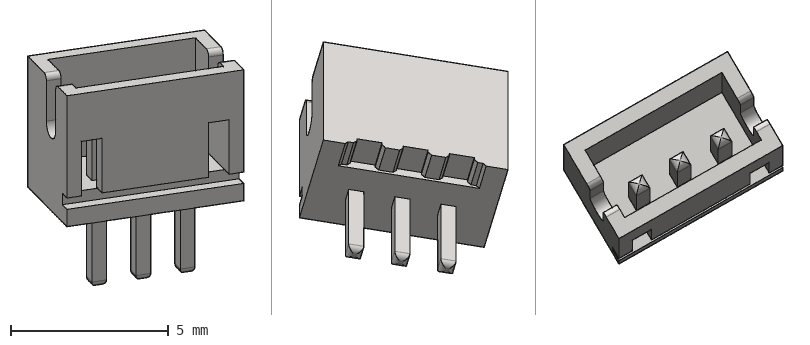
import cadquery as cq
import math


TOTAL_HEIGHT = 7.2
HOUSING_X = 3.5
HOUSING_Y = 6.0
HOUSING_HEIGHT = 4.5
WALL = 0.5

SLOT_X = 0.33
SLOT_WIDTH = 0.83
SLOT_DEPTH = 2.0
SLOT_LIP_RADIUS = 0.2

GROOVE_BOTTOM = 0.6
GROOVE_HEIGHT = 0.39
GROOVE_DEPTH = 0.41

FLOOR_TOP = GROOVE_BOTTOM + GROOVE_HEIGHT

WINDOW_TOP = 2.86
WINDOW_INNER_Y = 1.81

PIN_COUNT = 3
PIN_PITCH = 1.5
PIN_X = 0.44
PIN_WIDTH = 0.5
PIN_TIP_BELOW_RIM = 0.7
PIN_TOP = HOUSING_HEIGHT - PIN_TIP_BELOW_RIM
PIN_BOTTOM = HOUSING_HEIGHT - TOTAL_HEIGHT
PIN_TAIL_RADIUS = 0.2

RELIEF_DEPTH = 1.0
STRIP_HEIGHT = 0.1
STRIP_HALF_LENGTH = 2.29
BAY_HEIGHT = 0.3
BAY_HALF_WIDTH = 0.4
BAY_CHAMFER = 0.115

PIN_PLACES = [(i - (PIN_COUNT - 1) / 2) * PIN_PITCH for i in range(PIN_COUNT)]
CAVITY_X = HOUSING_X - 2 * WALL
CAVITY_Y = HOUSING_Y - 2 * WALL


def block(x_range, y_range, z_range):
    """Box spanning the given (low, high) ranges."""
    sizes = [high - low for low, high in (x_range, y_range, z_range)]
    corner = (x_range[0], y_range[0], z_range[0])
    return cq.Workplane("XY").box(*sizes, centered=False).translate(corner)


def keying_slot():
    """Round-bottomed slot with rounded lips, running the full length in Y."""
    half = SLOT_WIDTH / 2
    lip = SLOT_LIP_RADIUS
    left = SLOT_X - half
    right = SLOT_X + half
    arc_z = HOUSING_HEIGHT - SLOT_DEPTH + half
    lip_z = HOUSING_HEIGHT - lip
    return (
        cq.Workplane("XZ")
        .moveTo(left - lip, HOUSING_HEIGHT)
        .radiusArc((left, lip_z), lip)
        .lineTo(left, arc_z)
        .threePointArc((SLOT_X, arc_z - half), (right, arc_z))
        .lineTo(right, lip_z)
        .radiusArc((right + lip, HOUSING_HEIGHT), lip)
        .close()
        .extrude(HOUSING_Y / 2, both=True)
    )


def underside_relief():
    """Shallow chamfered strip plus one deeper flared bay for each pin."""
    plane = cq.Workplane("YZ", origin=(-HOUSING_X / 2, 0, 0))
    strip_top = STRIP_HALF_LENGTH - STRIP_HEIGHT
    relief = plane.polyline([
        (-STRIP_HALF_LENGTH, 0),
        (-strip_top, STRIP_HEIGHT),
        (strip_top, STRIP_HEIGHT),
        (STRIP_HALF_LENGTH, 0),
    ]).close().extrude(RELIEF_DEPTH)

    foot = BAY_HALF_WIDTH + BAY_CHAMFER
    shoulder_z = STRIP_HEIGHT + BAY_CHAMFER
    bay = plane.polyline([
        (-foot, 0),
        (-foot, STRIP_HEIGHT),
        (-BAY_HALF_WIDTH, shoulder_z),
        (-BAY_HALF_WIDTH, BAY_HEIGHT),
        (BAY_HALF_WIDTH, BAY_HEIGHT),
        (BAY_HALF_WIDTH, shoulder_z),
        (foot, STRIP_HEIGHT),
        (foot, 0),
    ]).close().extrude(RELIEF_DEPTH)
    for y in PIN_PLACES:
        relief = relief.union(bay.translate((0, y, 0)))
    return relief


def pin_profile(plane):
    """Pin silhouette with a full-round tip and a rounded tail, extruded one pin width."""
    half = PIN_WIDTH / 2
    tail = PIN_TAIL_RADIUS
    flat = half - tail
    tail_z = PIN_BOTTOM + tail
    tip_z = PIN_TOP - half
    diagonal = tail * math.sqrt(0.5)
    return (
        cq.Workplane(plane)
        .moveTo(-flat, PIN_BOTTOM)
        .lineTo(flat, PIN_BOTTOM)
        .threePointArc((flat + diagonal, tail_z - diagonal), (half, tail_z))
        .lineTo(half, tip_z)
        .threePointArc((0, PIN_TOP), (-half, tip_z))
        .lineTo(-half, tail_z)
        .threePointArc((-flat - diagonal, tail_z - diagonal), (-flat, PIN_BOTTOM))
        .close()
        .extrude(half, both=True)
    )


def housing():
    """Shroud with its cavity, slot, groove, windows and underside relief."""
    outer_x = HOUSING_X / 2
    outer_y = HOUSING_Y / 2
    inner_x = CAVITY_X / 2
    inner_y = CAVITY_Y / 2
    body = block((-outer_x, outer_x), (-outer_y, outer_y), (0, HOUSING_HEIGHT))
    body = body.cut(block((-inner_x, inner_x), (-inner_y, inner_y), (FLOOR_TOP, HOUSING_HEIGHT)))
    body = body.cut(keying_slot())
    groove_x = (outer_x - GROOVE_DEPTH, outer_x)
    body = body.cut(block(groove_x, (-outer_y, outer_y), (GROOVE_BOTTOM, FLOOR_TOP)))
    for y_range in ((-inner_y, -WINDOW_INNER_Y), (WINDOW_INNER_Y, inner_y)):
        body = body.cut(block((inner_x, outer_x), y_range, (FLOOR_TOP, WINDOW_TOP)))
    return body.cut(underside_relief())


pin = pin_profile("XZ").intersect(pin_profile("YZ"))

result = housing()
for pin_y in PIN_PLACES:
    result = result.union(pin.translate((PIN_X, pin_y, 0)))